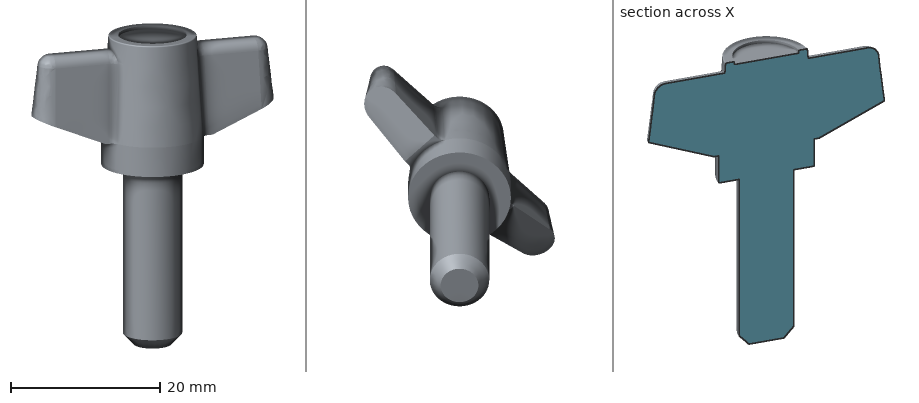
import cadquery as cq
import math

shaft_diameter = 8.0
shaft_tip_diameter = 5.05
shaft_tip_height = 1.55

total_height = 42.9
collar_diameter = 13.75
collar_bottom = 25.0
collar_top = 29.1
hub_top_diameter = 11.85
hub_edge_radius = 0.17
recess_diameter = 9.2
recess_depth = 0.45

wing_top = 41.45
wing_base_radius = 2.8
wing_top_radius = 1.7
wing_base_center = 14.67
wing_top_center = 14.3
wing_crown_radius = 1.67
wing_root_radius = 1.25
root_overlap = 0.01

underside_start = 7.55
underside_end = 17.05
underside_end_height = 33.0
cut_reach = 19.3
cut_half_width = 4.3


def make_shaft():
    shaft = cq.Workplane("XY").circle(shaft_diameter / 2).extrude(collar_top)
    tip_inset = (shaft_diameter - shaft_tip_diameter) / 2
    return shaft.faces("<Z").chamfer(shaft_tip_height, tip_inset)


def make_hub():
    return (
        cq.Workplane("XY", origin=(0, 0, collar_top))
        .circle(collar_diameter / 2)
        .workplane(offset=total_height - collar_top)
        .circle(hub_top_diameter / 2)
        .loft(ruled=True)
    )


def hub_radius_at(height):
    taper = (collar_diameter - hub_top_diameter) / 2 / (total_height - collar_top)
    return collar_diameter / 2 - taper * (height - collar_top)


def wing_outline(height, end_radius, end_center):
    """Closed plan of both wings, each side flaring through an arc to meet the hub."""
    center_x = end_radius + wing_root_radius
    center_distance = hub_radius_at(height) + wing_root_radius - root_overlap
    center_y = math.sqrt(center_distance**2 - center_x**2)
    hub_angle = math.atan2(center_y, center_x)
    middle_angle = hub_angle / 2
    hub_x = center_x - wing_root_radius * math.cos(hub_angle)
    hub_y = center_y - wing_root_radius * math.sin(hub_angle)
    middle_x = center_x - wing_root_radius * math.cos(middle_angle)
    middle_y = center_y - wing_root_radius * math.sin(middle_angle)
    tip = end_center + end_radius
    return (
        cq.Workplane("XY", origin=(0, 0, height))
        .moveTo(hub_x, -hub_y)
        .lineTo(hub_x, hub_y)
        .threePointArc((middle_x, middle_y), (end_radius, center_y))
        .lineTo(end_radius, end_center)
        .threePointArc((0, tip), (-end_radius, end_center))
        .lineTo(-end_radius, center_y)
        .threePointArc((-middle_x, middle_y), (-hub_x, hub_y))
        .lineTo(-hub_x, -hub_y)
        .threePointArc((-middle_x, -middle_y), (-end_radius, -center_y))
        .lineTo(-end_radius, -end_center)
        .threePointArc((0, -tip), (end_radius, -end_center))
        .lineTo(end_radius, -center_y)
        .threePointArc((middle_x, -middle_y), (hub_x, -hub_y))
        .close()
        .val()
    )


def is_inside_hub(edge):
    """True for the straight side edges buried in the hub, which run across Y = 0."""
    box = edge.BoundingBox()
    return box.ymin < 0 < box.ymax


def make_wings():
    """Both wings as one drafted body with rounded crowns and cut-away undersides."""
    base = wing_outline(collar_top, wing_base_radius, wing_base_center)
    top = wing_outline(wing_top, wing_top_radius, wing_top_center)
    wings = cq.Workplane(cq.Solid.makeLoft([base, top], True))
    top_edges = wings.faces(">Z").edges()
    crown_edges = top_edges.filter(lambda edge: not is_inside_hub(edge))
    wings = crown_edges.fillet(wing_crown_radius)
    slope = (underside_end_height - collar_top) / (underside_end - underside_start)
    reach_height = collar_top + slope * (cut_reach - underside_start)
    for side in (-1, 1):
        wedge = (
            cq.Workplane("YZ")
            .moveTo(side * underside_start, collar_top)
            .lineTo(side * cut_reach, reach_height)
            .lineTo(side * cut_reach, collar_top)
            .close()
            .extrude(cut_half_width, both=True)
        )
        wings = wings.cut(wedge)
    return wings


def make_collar():
    collar_height = collar_top - collar_bottom
    return (
        cq.Workplane("XY", origin=(0, 0, collar_bottom))
        .circle(collar_diameter / 2)
        .extrude(collar_height)
    )


def make_recess():
    return (
        cq.Workplane("XY", origin=(0, 0, total_height - recess_depth))
        .circle(recess_diameter / 2)
        .extrude(recess_depth)
    )


grip = make_hub().union(make_wings())
grip = grip.faces(">Z").edges().fillet(hub_edge_radius)
result = grip.union(make_collar()).union(make_shaft()).cut(make_recess())